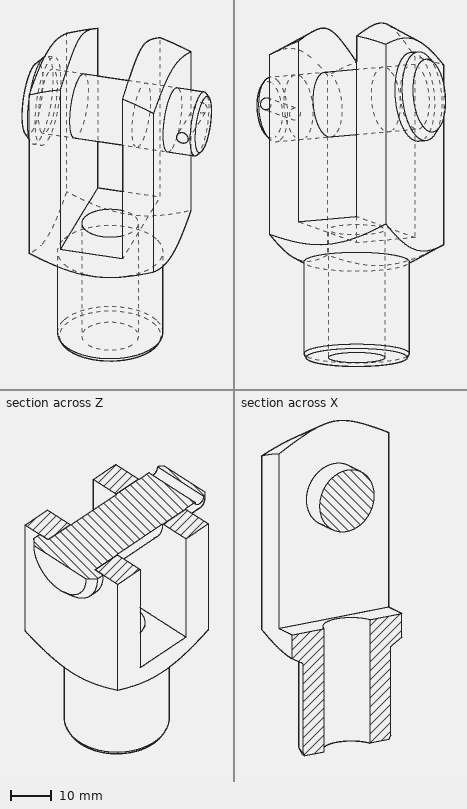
import cadquery as cq
import math

total_height = 83.0
fork_width = 32.0
slot_width = fork_width / 2
slot_floor_z = 32.0
shank_diameter = 26.0
shank_length = 24.0
shank_chamfer_radial = 0.5
shank_chamfer_axial = 1.0
bore_diameter = 13.95
cone_angle = 30.0

pin_diameter = 16.0
pin_axis_z = 64.0
pin_end_x = 24.0
pin_end_chamfer = 1.0
pin_head_diameter = 22.0
pin_head_thickness = 4.0
pin_head_chamfer = 2.0
cotter_hole_diameter = 3.0
cotter_hole_x = 21.0

fork_half = fork_width / 2
slope = math.tan(math.radians(cone_angle))


def make_turned_envelope():
    """Solid of revolution that gives the square head its conical ends."""
    bottom_radius = shank_diameter / 2
    top_radius = slot_width / 2
    outer_radius = fork_width
    lower_z = shank_length + (outer_radius - bottom_radius) * slope
    upper_z = total_height - (outer_radius - top_radius) * slope
    return (
        cq.Workplane("XZ")
        .moveTo(0, shank_length)
        .lineTo(bottom_radius, shank_length)
        .lineTo(outer_radius, lower_z)
        .lineTo(outer_radius, upper_z)
        .lineTo(top_radius, total_height)
        .lineTo(0, total_height)
        .close()
        .revolve(360, (0, 0, 0), (0, 1, 0))
    )


def make_shank():
    """Round shank with a small chamfer around its lower end."""
    radius = shank_diameter / 2
    return (
        cq.Workplane("XZ")
        .lineTo(radius - shank_chamfer_radial, 0)
        .lineTo(radius, shank_chamfer_axial)
        .lineTo(radius, shank_length)
        .lineTo(0, shank_length)
        .close()
        .revolve(360, (0, 0, 0), (0, 1, 0))
    )


def make_fork():
    head = (
        cq.Workplane("XY", origin=(0, 0, shank_length))
        .rect(fork_width, fork_width)
        .extrude(total_height - shank_length)
        .intersect(make_turned_envelope())
    )
    slot = (
        cq.Workplane("XY", origin=(0, 0, slot_floor_z))
        .rect(slot_width, fork_width)
        .extrude(total_height - slot_floor_z)
    )
    bore = cq.Workplane("XY").circle(bore_diameter / 2).extrude(slot_floor_z)
    pin_hole = (
        cq.Workplane("YZ", origin=(-fork_half, 0, pin_axis_z))
        .circle(pin_diameter / 2)
        .extrude(fork_width)
    )
    return head.union(make_shank()).cut(slot).cut(bore).cut(pin_hole)


def make_pin():
    head = (
        cq.Workplane("YZ", origin=(-fork_half - pin_head_thickness, 0, pin_axis_z))
        .circle(pin_head_diameter / 2)
        .extrude(pin_head_thickness)
        .faces("<X")
        .chamfer(pin_head_chamfer)
    )
    shaft = (
        cq.Workplane("YZ", origin=(-fork_half, 0, pin_axis_z))
        .circle(pin_diameter / 2)
        .extrude(pin_end_x + fork_half)
        .faces(">X")
        .chamfer(pin_end_chamfer)
    )
    cotter_hole = (
        cq.Workplane("XZ", origin=(cotter_hole_x, 0, pin_axis_z))
        .circle(cotter_hole_diameter / 2)
        .extrude(pin_diameter / 2, both=True)
    )
    return head.union(shaft).cut(cotter_hole)


fork = make_fork()
pin = make_pin()

result = cq.Compound.makeCompound([fork.val(), pin.val()])